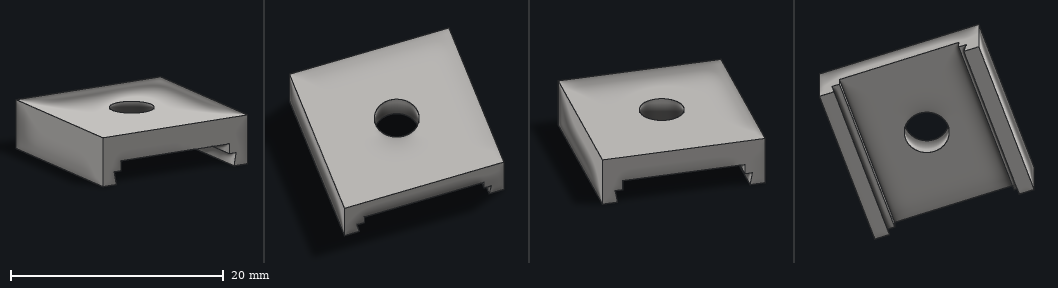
import cadquery as cq

side = 15.88
height = 4.78
hole_diameter = 4.216

channel_depth = 2.24
lip_height = 1.27
roof_half_width = 5.94
ledge_half_width = 6.68
mouth_half_width = 6.45


def make_plate():
    """Square plate centred on Z, resting on the XY plane."""
    return cq.Workplane("XY").box(side, side, height, centered=(True, True, False))


def make_channel():
    """Stepped channel with dovetailed lower walls, open at both X ends."""
    right_wall = [
        (mouth_half_width, 0),
        (ledge_half_width, lip_height),
        (roof_half_width, lip_height),
        (roof_half_width, channel_depth),
    ]
    left_wall = [(-y, z) for y, z in reversed(right_wall)]
    return (
        cq.Workplane("YZ")
        .polyline(right_wall + left_wall)
        .close()
        .extrude(side / 2, both=True)
    )


def make_hole():
    """Vertical through hole at the centre of the plate."""
    return cq.Workplane("XY").circle(hole_diameter / 2).extrude(height)


result = make_plate().cut(make_channel()).cut(make_hole())